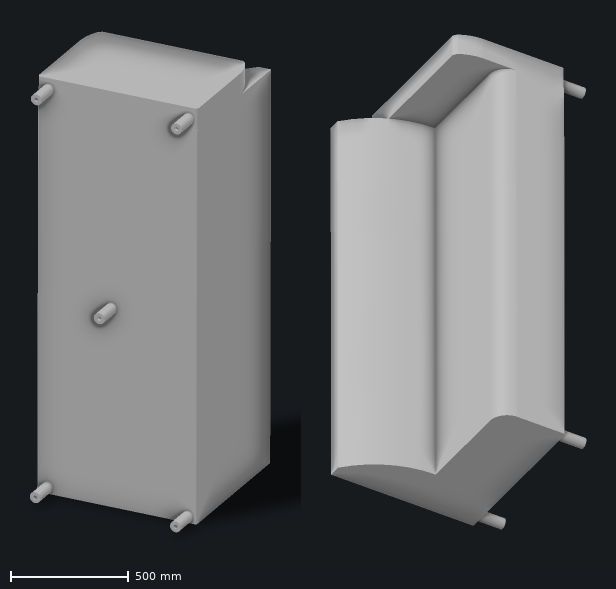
import cadquery as cq
import math

width = 761.0
tilted_height = 1951.0
tilt_angle = 0.15
height = (tilted_height - width * math.sin(math.radians(tilt_angle))) / math.cos(math.radians(tilt_angle))

cap_thickness = 103.0
cap_depth = 530.0
cap_side_depth = 410.0
cap_shoulder_depth = 517.0
cap_shoulder_inset = 30.0
cap_rear_inset = 47.0
cap_side_radius = 235.0
cap_front_round = 14.0

block_count = 3
block_height = (height - cap_thickness) / block_count
slab_depth = 325.0
slab_rear_round = 88.0
block_front_round = 8.0
block_depth = 708.0
column_width = 230.0
column_rear_width = 59.0

pin_diameter = 50.0
pin_length = 121.0
socket_diameter = 19.1
socket_depth = 20.0
pilot_diameter = 8.0
pilot_depth = 20.0
pin_left_x = 53.0
pin_right_x = width - 41.0
pin_bottom_z = 31.0
pin_top_z = height - cap_thickness / 2
middle_pin_x = 355.0
middle_pin_z = 933.0
pin_places = [(x, z) for x in (pin_left_x, pin_right_x) for z in (pin_bottom_z, pin_top_z)]
pin_places.append((middle_pin_x, middle_pin_z))


def bulged_midpoint(start, end, radius):
    """Middle of the arc that bulges to the left of the line from start to end."""
    dx = end[0] - start[0]
    dy = end[1] - start[1]
    chord = math.hypot(dx, dy)
    bulge = radius - math.sqrt(radius**2 - (chord / 2) ** 2)
    return (
        (start[0] + end[0]) / 2 - bulge * dy / chord,
        (start[1] + end[1]) / 2 + bulge * dx / chord,
    )


def tilted(body):
    """Lean a body about the Y axis through the base's left corner."""
    return body.rotate((0, 0, 0), (0, 1, 0), tilt_angle)


def make_block(base_z):
    arc_start = (width - column_width, slab_depth)
    arc_end = (width - column_rear_width, block_depth)
    arc_run = arc_end[0] - arc_start[0]
    arc_rise = arc_end[1] - arc_start[1]
    arc_radius = (arc_run**2 + arc_rise**2) / (2 * arc_run)
    block = (
        cq.Workplane("XY", origin=(0, 0, base_z))
        .moveTo(0, 0)
        .lineTo(0, slab_depth - slab_rear_round)
        .radiusArc((slab_rear_round, slab_depth), slab_rear_round)
        .lineTo(*arc_start)
        .threePointArc(bulged_midpoint(arc_start, arc_end, arc_radius), arc_end)
        .lineTo(width, block_depth)
        .lineTo(width, 0)
        .close()
        .extrude(block_height)
    )
    block = block.faces("<Y").edges("|Z").fillet(block_front_round)
    return tilted(block)


def make_cap():
    left_side = (0, cap_side_depth)
    left_shoulder = (cap_shoulder_inset, cap_shoulder_depth)
    right_shoulder = (width - cap_shoulder_inset, cap_shoulder_depth)
    right_side = (width, cap_side_depth)
    cap = (
        cq.Workplane("XY", origin=(0, 0, height - cap_thickness))
        .moveTo(0, 0)
        .lineTo(*left_side)
        .threePointArc(bulged_midpoint(left_side, left_shoulder, cap_side_radius), left_shoulder)
        .lineTo(cap_rear_inset, cap_depth)
        .lineTo(width - cap_rear_inset, cap_depth)
        .lineTo(*right_shoulder)
        .threePointArc(bulged_midpoint(right_shoulder, right_side, cap_side_radius), right_side)
        .lineTo(width, 0)
        .close()
        .extrude(cap_thickness)
    )
    cap = cap.faces("<Y").edges("|Z").fillet(cap_front_round)
    return tilted(cap)


def make_pin(x, z):
    pin = cq.Workplane("XZ", origin=(x, 0, z)).circle(pin_diameter / 2).extrude(pin_length)
    pin = pin.faces("<Y").workplane().cboreHole(
        pilot_diameter, socket_diameter, socket_depth, socket_depth + pilot_depth
    )
    return tilted(pin)


blocks = [make_block(index * block_height) for index in range(block_count)]
cap = make_cap()
pins = [make_pin(x, z) for x, z in pin_places]

result = cq.Compound.makeCompound(
    [*[block.val() for block in blocks], cap.val(), *[pin.val() for pin in pins]]
)